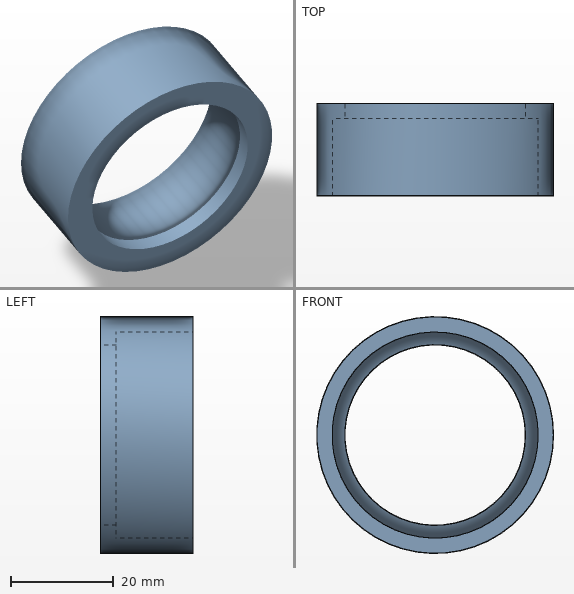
import cadquery as cq

outer_diameter = 46.0
length = 18.0
main_bore_diameter = 40.0
lip_bore_diameter = 35.0
lip_thickness = 3.0

front_y = -length / 2
main_bore_depth = length - lip_thickness


def cylinder_along_y(diameter, start_y, height):
    """Solid cylinder running from start_y toward +Y."""
    start_plane = cq.Workplane("XZ", origin=(0, start_y, 0))
    return start_plane.circle(diameter / 2).extrude(-height)


body = cylinder_along_y(outer_diameter, front_y, length)
main_bore = cylinder_along_y(main_bore_diameter, front_y, main_bore_depth)
lip_bore = cylinder_along_y(lip_bore_diameter, front_y, length)

result = body.cut(main_bore).cut(lip_bore)